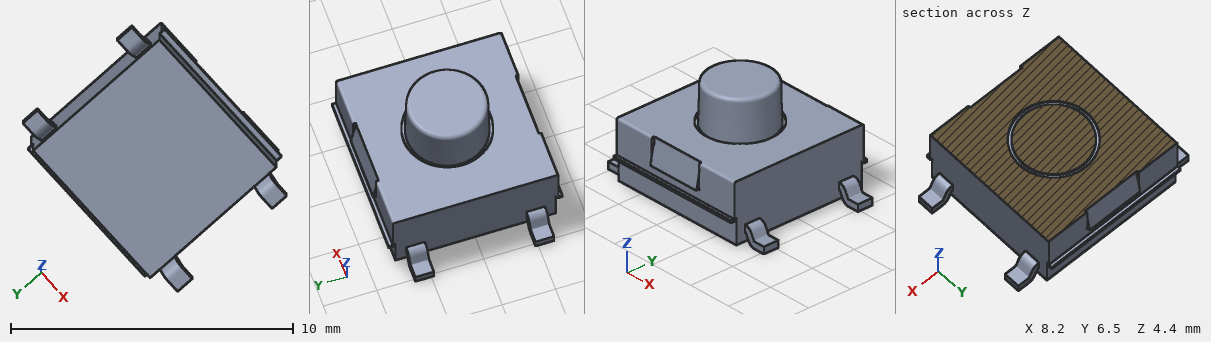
import cadquery as cq
import math

body_width = 6.2
base_depth = 6.0
base_bottom = 0.1
roof_height = 2.7
roof_edge_radius = 0.1

lip_span = 6.5
lip_top = 1.2
sheet_thickness = (body_width - base_depth) / 2
lip_bottom = lip_top - sheet_thickness

button_top = 4.4
button_root_diameter = 3.0
button_tip_diameter = 2.9
button_edge_radius = 0.155
recess_diameter = 3.25
recess_depth = 0.1

pocket_width = 2.49
tab_clearance = 0.03
pocket_back = body_width / 2 - roof_edge_radius
tab_top = 2.61
tab_bottom = 1.6
tab_reach = 3.2

lead_span = 8.2
lead_width = 0.7
lead_offset = 2.25
lead_thickness = 0.3
lead_top = 0.78
inner_bend = 0.05
outer_bend = inner_bend + lead_thickness
upper_bend_x = 3.125
lower_bend_x = 3.62


def box_between(x_size, y_size, bottom, top):
    """Box centred on the Z axis that spans the given heights."""
    return cq.Workplane("XY").workplane(offset=bottom).rect(x_size, y_size).extrude(top - bottom)


def make_housing():
    base = box_between(body_width, base_depth, base_bottom, lip_top)
    cover = box_between(body_width, body_width, lip_top, roof_height)
    cover = cover.edges("|X and >Z").fillet(roof_edge_radius)
    return base.union(cover)


def along_x(profile, length):
    """Extrude a closed YZ outline symmetrically along X."""
    return profile.extrude(length / 2, both=True)


def make_lip():
    """Front lip, with the rounded underside of a bent sheet."""
    root = base_depth / 2
    bend_drop = sheet_thickness * math.sin(math.pi / 4)
    bend_middle = (-(root + sheet_thickness - bend_drop), lip_top - bend_drop)
    profile = (
        cq.Workplane("YZ")
        .moveTo(-root, lip_top)
        .threePointArc(bend_middle, (-(root + sheet_thickness), lip_bottom))
        .lineTo(-lip_span / 2, lip_bottom)
        .lineTo(-lip_span / 2, lip_top)
        .close()
    )
    return along_x(profile, body_width)


def make_tab_pocket():
    profile = cq.Workplane("YZ").moveTo(-pocket_back, tab_bottom).lineTo(-pocket_back, roof_height)
    profile = profile.lineTo(-tab_reach, roof_height).lineTo(-tab_reach, tab_bottom).close()
    return along_x(profile, pocket_width)


def make_tab():
    """Front tab: a wedge that leans out of the pocket towards its lower edge."""
    profile = cq.Workplane("YZ").moveTo(-pocket_back, tab_bottom).lineTo(-pocket_back, tab_top)
    profile = profile.lineTo(-tab_reach, tab_bottom).close()
    return along_x(profile, pocket_width - 2 * tab_clearance)


def make_button():
    """Tapered button that stands on the floor of its recess."""
    floor = roof_height - recess_depth
    profile = (
        cq.Workplane("XZ")
        .moveTo(0, floor)
        .lineTo(button_root_diameter / 2, floor)
        .lineTo(button_tip_diameter / 2, button_top)
        .lineTo(0, button_top)
        .close()
    )
    button = profile.revolve(360, (0, 0, 0), (0, 1, 0))
    return button.faces(">Z").edges().fillet(button_edge_radius)


def make_lead():
    """Lead on the +X side at the middle of the Y range, bent twice by the same angle."""
    upper = (upper_bend_x, lead_top - outer_bend)
    lower = (lower_bend_x, outer_bend)

    run = lower[0] - upper[0]
    drop = upper[1] - lower[1]
    bend_angle = math.asin((outer_bend + inner_bend) / math.hypot(run, drop)) + math.atan2(drop, run)

    def on_upper(radius, angle):
        return (upper[0] + radius * math.sin(angle), upper[1] + radius * math.cos(angle))

    def on_lower(radius, angle):
        return (lower[0] - radius * math.sin(angle), lower[1] - radius * math.cos(angle))

    half_angle = bend_angle / 2
    wall = body_width / 2
    profile = (
        cq.Workplane("XZ")
        .moveTo(wall, lead_top)
        .lineTo(*on_upper(outer_bend, 0))
        .threePointArc(on_upper(outer_bend, half_angle), on_upper(outer_bend, bend_angle))
        .lineTo(*on_lower(inner_bend, bend_angle))
        .threePointArc(on_lower(inner_bend, half_angle), on_lower(inner_bend, 0))
        .lineTo(lead_span / 2, lead_thickness)
        .lineTo(lead_span / 2, 0)
        .lineTo(*on_lower(outer_bend, 0))
        .threePointArc(on_lower(outer_bend, half_angle), on_lower(outer_bend, bend_angle))
        .lineTo(*on_upper(inner_bend, bend_angle))
        .threePointArc(on_upper(inner_bend, half_angle), on_upper(inner_bend, 0))
        .lineTo(wall, lead_top - lead_thickness)
        .close()
    )
    return profile.extrude(lead_width / 2, both=True)


result = make_housing()

for turn in (0, 180):
    z_axis = ((0, 0, 0), (0, 0, 1))
    result = result.union(make_lip().rotate(*z_axis, turn))
    result = result.cut(make_tab_pocket().rotate(*z_axis, turn))
    result = result.union(make_tab().rotate(*z_axis, turn))

recess = cq.Workplane("XY").workplane(offset=roof_height).circle(recess_diameter / 2).extrude(-recess_depth)
result = result.cut(recess).union(make_button())

right_lead = make_lead()
for lead in (right_lead, right_lead.mirror("YZ")):
    for y in (-lead_offset, lead_offset):
        result = result.union(lead.translate((0, y, 0)))